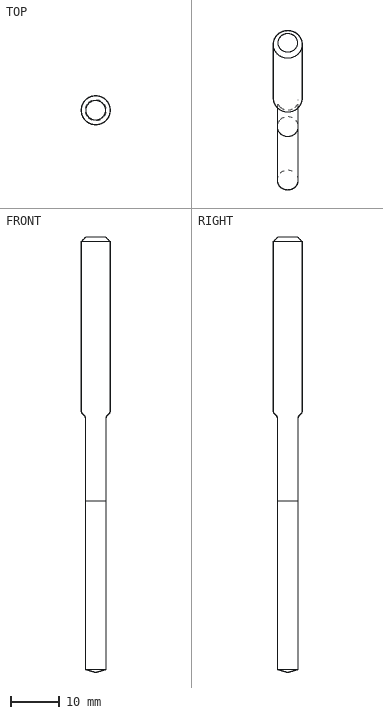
import cadquery as cq
import math

total_length = 90.0
shank_bottom = 54.1
neck_top = 52.5
joint_height = 35.5
point_height = 0.6

shank_radius = 6.0 / 2
neck_radius = 4.3 / 2
diameter_growth = 0.02
cutter_radius = neck_radius + diameter_growth / 2
joint_fraction = (neck_top - joint_height) / (neck_top - point_height)
joint_radius = neck_radius + joint_fraction * (cutter_radius - neck_radius)

end_chamfer_size = 1.0


def ogee_middles(step_width, step_height):
    """Offsets (inward, down) of the points on a two-arc S-curve.

    Each arc is tangent to the axis direction at its outer end, and the
    arcs meet tangentially at the middle of the step.
    """
    half_width = step_width / 2
    half_height = step_height / 2
    arc_radius = (half_width**2 + half_height**2) / (2 * half_width)
    half_sweep = math.asin(half_height / arc_radius) / 2
    rise_in = arc_radius * (1 - math.cos(half_sweep))
    rise_down = arc_radius * math.sin(half_sweep)
    first = (rise_in, rise_down)
    middle = (half_width, half_height)
    last = (step_width - rise_in, step_height - rise_down)
    return first, middle, last


def make_shank():
    """Shank with a chamfered end, an S-shaped shoulder and the upper neck."""
    offsets = ogee_middles(shank_radius - neck_radius, shank_bottom - neck_top)
    first, middle, last = [(shank_radius - inward, shank_bottom - down) for inward, down in offsets]
    profile = (
        cq.Workplane("XZ")
        .moveTo(0, joint_height)
        .lineTo(0, total_length)
        .lineTo(shank_radius - end_chamfer_size, total_length)
        .lineTo(shank_radius, total_length - end_chamfer_size)
        .lineTo(shank_radius, shank_bottom)
        .threePointArc(first, middle)
        .threePointArc(last, (neck_radius, neck_top))
        .lineTo(joint_radius, joint_height)
        .close()
    )
    return profile.revolve(360, (0, 0, 0), (0, 1, 0))


def make_cutter():
    """Slightly tapered cutting rod with a shallow conical point."""
    profile = (
        cq.Workplane("XZ")
        .lineTo(cutter_radius, point_height)
        .lineTo(joint_radius, joint_height)
        .lineTo(0, joint_height)
        .close()
    )
    return profile.revolve(360, (0, 0, 0), (0, 1, 0))


shank = make_shank()
cutter = make_cutter()
result = cq.Compound.makeCompound([shank.val(), cutter.val()])